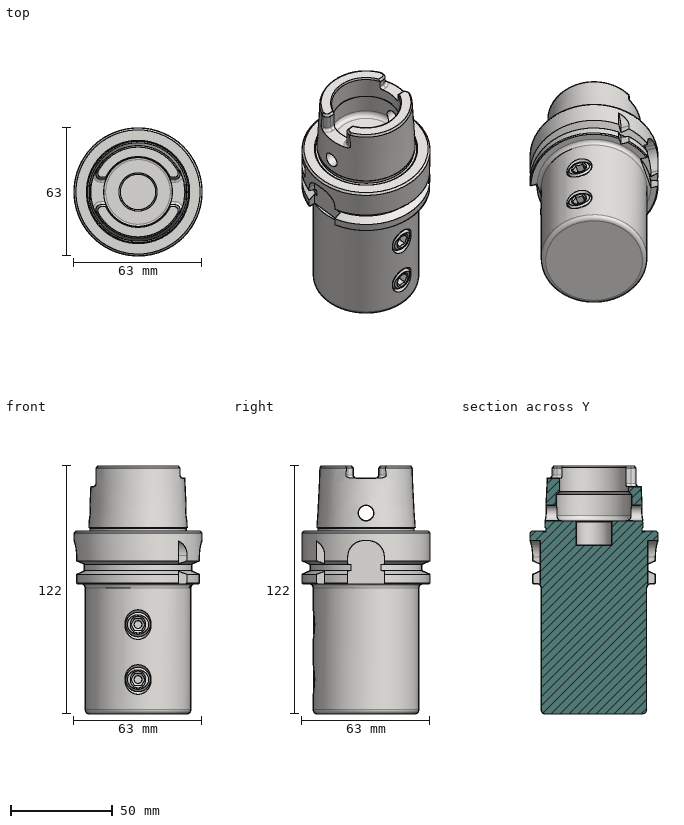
import cadquery as cq
import math


taper_height = 32.0
taper_start_z = 1.8
taper_start_radius = 24.2
taper_slope = 1 / 20
tip_chamfer_height = 1.2
tip_chamfer_width = 0.7
neck_radius = 23.7
neck_top_z = 1.2
relief_depth = 0.4
relief_floor_radius = 24.9
relief_rim_radius = 25.4

flange_radius = 31.5
flange_length = 26.0
flange_chamfer = 1.0
flange_lower_chamfer = 0.5
groove_radius = 27.5
groove_centre_z = -18.0
groove_floor_width = 2.9
groove_cone_height = 1.85

body_radius = 26.0
body_length = 90.0
body_neck_fillet = 2.0
body_end_fillet = 2.2

bore_radius = 16.9
bore_mouth_chamfer_width = 0.5
bore_mouth_chamfer_height = 0.9
bore_mouth_length = 12.6
chamber_radius = 18.5
bore_floor_z = 5.0
bore_floor_fillet = 2.6
pilot_radius = 8.7
pilot_chamfer = 0.7
pilot_depth = 12.0

tip_slot_width = 12.5
tip_slot_floor_fillet = 1.5
tip_slot_mouth_radius = 2.5
tip_slot_mouth_x = 20.65
tip_slot_edge_chamfer = 1.0
deep_tip_slot_depth = 10.2
shallow_tip_slot_depth = 6.0

cross_hole_diameter = 7.5
cross_hole_z = 8.8

drive_slot_width = 18.0
drive_slot_floor_x = 26.5
drive_slot_top_z = -4.75
notch_top_z = -4.0
notch_floor_x = 19.9
notch_wall_y = -20.3
flange_slot_corner_radius = 8.0
label_flat_distance = 29.85
label_flat_angle = 135.0
label_flat_height = 6.1
label_flat_top_z = -4.1

screw_heights = [-46.0, -73.0]
screw_radius = 6.0
screw_countersink_radius = 7.3
screw_chamfer = 1.2
hex_across_flats = 6.0
hex_countersink_radius = 4.1
hex_countersink_depth = 0.6
hex_depth = 4.0
hex_tip_radius = 1.9
hex_tip_depth = 1.0


def taper_radius(z):
    return taper_start_radius - taper_slope * (z - taper_start_z)


def revolve_about_z(profile):
    return profile.close().revolve(360, (0, 0, 0), (0, 1, 0))


def turned_body():
    groove_top = groove_centre_z + groove_floor_width / 2
    groove_bottom = groove_centre_z - groove_floor_width / 2
    tip_edge_z = taper_height - tip_chamfer_height
    tip_edge_radius = taper_radius(tip_edge_z)
    profile = (
        cq.Workplane("XZ")
        .moveTo(0, -body_length)
        .lineTo(body_radius - body_end_fillet, -body_length)
        .radiusArc((body_radius, -body_length + body_end_fillet), -body_end_fillet)
        .lineTo(body_radius, -flange_length - body_neck_fillet)
        .radiusArc((body_radius + body_neck_fillet, -flange_length), body_neck_fillet)
        .lineTo(flange_radius - flange_lower_chamfer, -flange_length)
        .lineTo(flange_radius, -flange_length + flange_lower_chamfer)
        .lineTo(flange_radius, groove_bottom - groove_cone_height)
        .lineTo(groove_radius, groove_bottom)
        .lineTo(groove_radius, groove_top)
        .lineTo(flange_radius, groove_top + groove_cone_height)
        .lineTo(flange_radius, -flange_chamfer)
        .lineTo(flange_radius - flange_chamfer, 0)
        .lineTo(relief_rim_radius, 0)
        .lineTo(relief_floor_radius, -relief_depth)
        .lineTo(neck_radius, -relief_depth)
        .lineTo(neck_radius, neck_top_z)
        .lineTo(taper_start_radius, taper_start_z)
        .lineTo(tip_edge_radius, tip_edge_z)
        .lineTo(tip_edge_radius - tip_chamfer_width, taper_height)
        .lineTo(0, taper_height)
    )
    return revolve_about_z(profile)


def taper_bore():
    mouth_end_z = taper_height - bore_mouth_length
    pilot_floor_z = bore_floor_z - pilot_depth
    profile = (
        cq.Workplane("XZ")
        .moveTo(0, taper_height)
        .lineTo(bore_radius + bore_mouth_chamfer_width, taper_height)
        .lineTo(bore_radius, taper_height - bore_mouth_chamfer_height)
        .lineTo(bore_radius, mouth_end_z)
        .lineTo(chamber_radius, mouth_end_z - (chamber_radius - bore_radius))
        .lineTo(chamber_radius, bore_floor_z + bore_floor_fillet)
        .radiusArc((chamber_radius - bore_floor_fillet, bore_floor_z), bore_floor_fillet)
        .lineTo(pilot_radius + pilot_chamfer, bore_floor_z)
        .lineTo(pilot_radius, bore_floor_z - pilot_chamfer)
        .lineTo(pilot_radius, pilot_floor_z)
        .lineTo(0, pilot_floor_z)
    )
    return revolve_about_z(profile)


def tip_slot_outline(z):
    """Outline of the +X tip slot: parallel walls that round outwards to a flat mouth face."""
    wall_y = tip_slot_width / 2
    flare_x = tip_slot_mouth_x - tip_slot_mouth_radius
    flare_y = wall_y + tip_slot_mouth_radius
    outer = flange_radius
    return (
        cq.Workplane("XY", origin=(0, 0, z))
        .moveTo(0, -wall_y)
        .lineTo(flare_x, -wall_y)
        .radiusArc((tip_slot_mouth_x, -flare_y), tip_slot_mouth_radius)
        .lineTo(tip_slot_mouth_x, -outer)
        .lineTo(outer, -outer)
        .lineTo(outer, outer)
        .lineTo(tip_slot_mouth_x, outer)
        .lineTo(tip_slot_mouth_x, flare_y)
        .radiusArc((flare_x, wall_y), tip_slot_mouth_radius)
        .lineTo(0, wall_y)
        .close()
    )


def tip_slot(depth):
    slot = tip_slot_outline(taper_height - depth).extrude(depth)
    slot = slot.faces("<Z").edges().fillet(tip_slot_floor_fillet)
    chamfer_angle = math.degrees(math.atan2(tip_slot_edge_chamfer, tip_chamfer_height))
    chamfer = tip_slot_outline(taper_height - tip_chamfer_height).extrude(
        tip_chamfer_height, taper=-chamfer_angle
    )
    return slot.union(chamfer)


def cross_hole():
    return (
        cq.Workplane("YZ", origin=(-flange_radius, 0, 0))
        .center(0, cross_hole_z)
        .circle(cross_hole_diameter / 2)
        .extrude(2 * flange_radius)
    )


def flange_slot(floor_x, y_min, y_max, top_z):
    """Slot open to +X and to the bottom of the flange, with rounded upper corners."""
    height = flange_length + top_z
    return (
        cq.Workplane("XY", origin=(floor_x, y_min, -flange_length))
        .box(flange_radius, y_max - y_min, height, centered=False)
        .edges("|X and >Z")
        .fillet(flange_slot_corner_radius)
    )


def drive_slot():
    return flange_slot(drive_slot_floor_x, -drive_slot_width / 2, drive_slot_width / 2, drive_slot_top_z)


def orientation_notch():
    return flange_slot(notch_floor_x, notch_wall_y - flange_radius, notch_wall_y, notch_top_z)


def label_flat():
    return (
        cq.Workplane("XY")
        .box(flange_radius, 2 * flange_radius, label_flat_height, centered=(False, True, False))
        .translate((label_flat_distance, 0, label_flat_top_z - label_flat_height))
        .rotate((0, 0, 0), (0, 0, 1), label_flat_angle)
    )


def screw_recess():
    """Countersink, chamfered end and hexagon socket of one screw, sunk along +Z from Z = 0."""
    countersink_depth = screw_countersink_radius - screw_radius
    screw_face_depth = countersink_depth - screw_chamfer
    face_radius = screw_radius - screw_chamfer
    hex_inner_radius = hex_across_flats / 2
    hex_outer_radius = hex_across_flats / math.sqrt(3)
    hex_countersink_floor = screw_face_depth + hex_countersink_depth
    hex_floor = screw_face_depth + hex_depth
    seat = (
        cq.Workplane("XZ")
        .moveTo(0, 0)
        .lineTo(screw_countersink_radius, 0)
        .lineTo(screw_radius, countersink_depth)
        .lineTo(face_radius, screw_face_depth)
        .lineTo(hex_countersink_radius, screw_face_depth)
        .lineTo(hex_inner_radius, hex_countersink_floor)
        .lineTo(0, hex_countersink_floor)
    )
    prism = (
        cq.Workplane("XY", origin=(0, 0, screw_face_depth))
        .polygon(6, 2 * hex_outer_radius)
        .extrude(hex_depth + hex_tip_depth)
    )
    drilled_core = revolve_about_z(
        cq.Workplane("XZ")
        .moveTo(0, screw_face_depth)
        .lineTo(hex_outer_radius, screw_face_depth)
        .lineTo(hex_outer_radius, hex_floor)
        .lineTo(hex_tip_radius, hex_floor + hex_tip_depth)
        .lineTo(0, hex_floor + hex_tip_depth)
    )
    return revolve_about_z(seat).union(prism.intersect(drilled_core))


def screw_recess_at(z):
    return screw_recess().rotate((0, 0, 0), (1, 0, 0), -90).translate((0, -body_radius, z))


result = turned_body().cut(taper_bore()).cut(cross_hole())
result = result.cut(tip_slot(shallow_tip_slot_depth))
result = result.cut(tip_slot(deep_tip_slot_depth).mirror("YZ"))
result = result.cut(drive_slot())
result = result.cut(drive_slot().mirror("YZ"))
result = result.cut(orientation_notch())
result = result.cut(label_flat())
for screw_z in screw_heights:
    result = result.cut(screw_recess_at(screw_z))